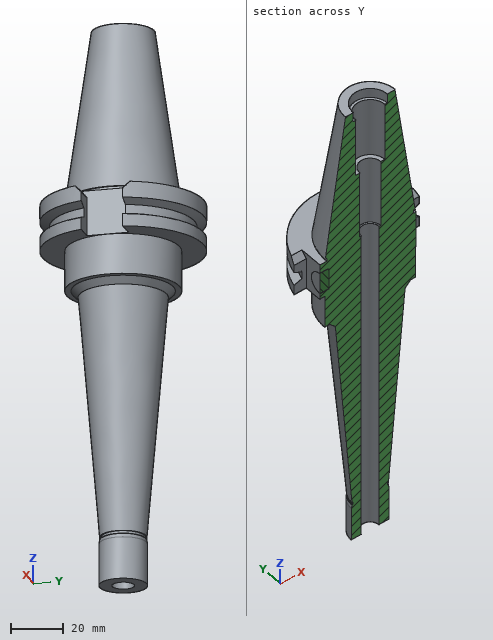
import cadquery as cq

TOTAL_LENGTH = 220.6

NOSE_RADIUS = 9.3
NOSE_CHAMFER_BOTTOM_Z = 16.5
NOSE_CHAMFER = 0.2
NOSE_TOP_Z = 18.0
NOSE_GROOVE_RADIUS = 8.5
NOSE_GROOVE_TOP_Z = 19.2

SHANK_BOTTOM_RADIUS = 9.0
SHANK_TOP_RADIUS = 17.2
SHANK_TOP_Z = 115.0

UNDERCUT_RADIUS = 19.9
COLLAR_RADIUS = 22.3
COLLAR_BOTTOM_Z = 117.5

FLANGE_RADIUS = 31.8
FLANGE_BOTTOM_Z = 133.5
FLANGE_TOP_Z = 151.4
GRIP_RADIUS = 56.3 / 2
GRIP_BOTTOM_EDGE_Z = 138.3
GRIP_FLOOR_BOTTOM_Z = 139.7
GRIP_FLOOR_TOP_Z = 143.2
GRIP_TOP_EDGE_Z = 145.0

NECK_RADIUS = 21.5
TAPER_BOTTOM_Z = 152.7
TAPER_BOTTOM_RADIUS = 44.4 / 2
TAPER_TOP_RADIUS = 24.5 / 2

SLOT_WIDTH = 16.3
SLOT_CHAMFER = 2.6
LEFT_SLOT_FLOOR = 24.7
RIGHT_SLOT_FLOOR = 22.5

MOUTH_RADIUS = 16.5 / 2
MOUTH_DEPTH = 4.6
UPPER_BORE_RADIUS = 7.0
UPPER_BORE_DEPTH = 33.0
MIDDLE_BORE_RADIUS = 5.0
MIDDLE_BORE_DEPTH = 66.2
THROUGH_BORE_RADIUS = 8.5 / 2

PLUG_RADIUS = 5.0
PLUG_DEPTH = 4.5
PLUG_Z = 141.7


def make_turned_body():
    """Revolve the outer half profile about Z."""
    profile = [
        (0, 0),
        (NOSE_RADIUS, 0),
        (NOSE_RADIUS, NOSE_CHAMFER_BOTTOM_Z),
        (NOSE_RADIUS - NOSE_CHAMFER, NOSE_TOP_Z),
        (NOSE_GROOVE_RADIUS, NOSE_TOP_Z),
        (NOSE_GROOVE_RADIUS, NOSE_GROOVE_TOP_Z),
        (SHANK_BOTTOM_RADIUS, NOSE_GROOVE_TOP_Z),
        (SHANK_TOP_RADIUS, SHANK_TOP_Z),
        (UNDERCUT_RADIUS, COLLAR_BOTTOM_Z),
        (COLLAR_RADIUS, COLLAR_BOTTOM_Z),
        (COLLAR_RADIUS, FLANGE_BOTTOM_Z),
        (FLANGE_RADIUS, FLANGE_BOTTOM_Z),
        (FLANGE_RADIUS, GRIP_BOTTOM_EDGE_Z),
        (GRIP_RADIUS, GRIP_FLOOR_BOTTOM_Z),
        (GRIP_RADIUS, GRIP_FLOOR_TOP_Z),
        (FLANGE_RADIUS, GRIP_TOP_EDGE_Z),
        (FLANGE_RADIUS, FLANGE_TOP_Z),
        (NECK_RADIUS, FLANGE_TOP_Z),
        (NECK_RADIUS, TAPER_BOTTOM_Z),
        (TAPER_BOTTOM_RADIUS, TAPER_BOTTOM_Z),
        (TAPER_TOP_RADIUS, TOTAL_LENGTH),
        (0, TOTAL_LENGTH),
    ]
    return cq.Workplane("XZ").polyline(profile).close().revolve(360, (0, 0), (0, 1))


def make_slot(start_x, length):
    """Slot cutter running toward +X, flared at the top of the flange."""
    half_width = SLOT_WIDTH / 2
    half_mouth = half_width + SLOT_CHAMFER
    flare_z = FLANGE_TOP_Z - SLOT_CHAMFER
    section = [
        (-half_width, FLANGE_BOTTOM_Z),
        (half_width, FLANGE_BOTTOM_Z),
        (half_width, flare_z),
        (half_mouth, FLANGE_TOP_Z),
        (-half_mouth, FLANGE_TOP_Z),
        (-half_width, flare_z),
    ]
    return cq.Workplane("YZ", origin=(start_x, 0, 0)).polyline(section).close().extrude(length)


def make_bore():
    """Coaxial cylinders that narrow in steps from the taper end."""
    steps = [
        (MOUTH_RADIUS, MOUTH_DEPTH),
        (UPPER_BORE_RADIUS, UPPER_BORE_DEPTH),
        (MIDDLE_BORE_RADIUS, MIDDLE_BORE_DEPTH),
    ]
    bore = cq.Workplane("XY").circle(THROUGH_BORE_RADIUS).extrude(TOTAL_LENGTH)
    for radius, depth in steps:
        step = cq.Workplane("XY", origin=(0, 0, TOTAL_LENGTH - depth)).circle(radius).extrude(depth)
        bore = bore.union(step)
    return bore


def make_plug():
    """Short cylinder whose outer face is level with the -X slot floor."""
    return cq.Workplane("YZ", origin=(-LEFT_SLOT_FLOOR, 0, PLUG_Z)).circle(PLUG_RADIUS).extrude(PLUG_DEPTH)


def make_holder(plug):
    """Tool holder with its slots, bore and the recess filled by the plug."""
    left_slot = make_slot(-FLANGE_RADIUS, FLANGE_RADIUS - LEFT_SLOT_FLOOR)
    right_slot = make_slot(RIGHT_SLOT_FLOOR, FLANGE_RADIUS - RIGHT_SLOT_FLOOR)
    return make_turned_body().cut(left_slot).cut(right_slot).cut(make_bore()).cut(plug)


plug = make_plug()
holder = make_holder(plug)

result = cq.Compound.makeCompound([holder.val(), plug.val()])